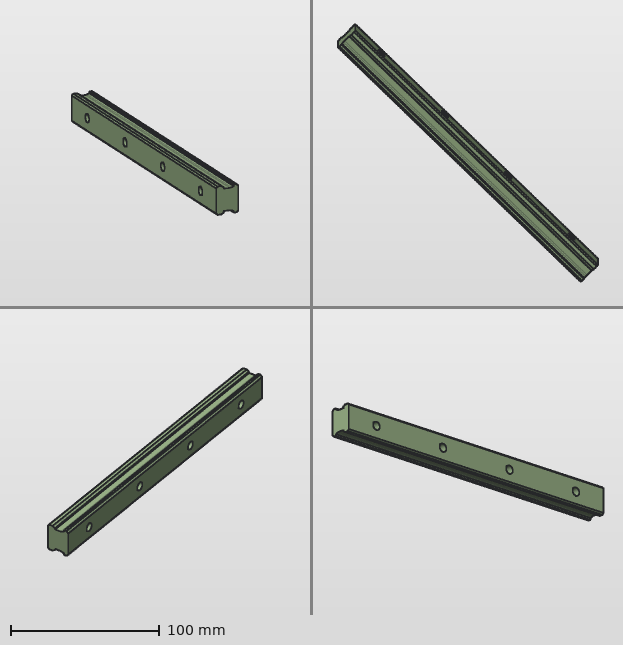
import cadquery as cq

length = 230.0
width = 16.5
height = 20.0

front_bevel = 1.2
back_bevel = 1.4

groove_depth = 2.0
front_land_end = -4.4
front_slope_end = -2.5
front_slope_depth = 1.2
floor_front = -2.3
floor_back = 2.0
ledge_front = 3.2
ledge_front_depth = 1.8
ledge_back = 4.5
ledge_back_depth = 1.2
step_top = 5.0

hole_diameter = 6.0
hole_count = 4
hole_pitch = 60.0


def rail_profile():
    """YZ outline, mirrored about the horizontal middle plane."""
    half_width = width / 2
    top = height / 2
    upper = [
        (-half_width, top - front_bevel),
        (-half_width + front_bevel, top),
        (front_land_end, top),
        (front_slope_end, top - front_slope_depth),
        (floor_front, top - groove_depth),
        (floor_back, top - groove_depth),
        (ledge_front, top - ledge_front_depth),
        (ledge_back, top - ledge_back_depth),
        (step_top, top),
        (half_width - back_bevel, top),
        (half_width, top - back_bevel),
    ]
    lower = [(y, -z) for y, z in reversed(upper)]
    return upper + lower


def hole_row():
    """Cylinders through the full width of the rail."""
    return (
        cq.Workplane("XZ")
        .rarray(hole_pitch, 2.3, hole_count, 1)
        .circle(hole_diameter / 2)
        .extrude(width / 2, both=True)
    )


rail = cq.Workplane("YZ", origin=(-length / 2, 0, 0)).polyline(rail_profile()).close().extrude(length)
result = rail.cut(hole_row())